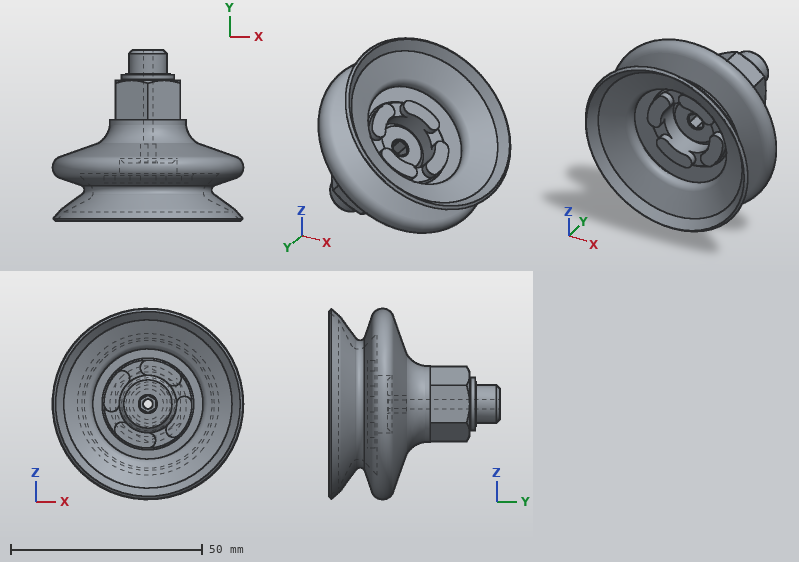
import cadquery as cq
import math

total_height = 44.8

lip_edge_radius = 24.15
lip_outer_radius = 24.85
lip_edge_height = 0.7
lip_bend_radius = 22.7
lip_bend_height = 3.1
groove_front_radius = 17.5
groove_front_height = 6.9
groove_root_radius = 16.7
groove_root_height = 8.15
groove_back_radius = 17.3
groove_back_height = 9.3
bead_radius = 25.0
bead_height = 14.05
bead_half_width = 2.8
bead_side_radius = 23.0
shoulder_radius = 13.0
shoulder_height = 20.4
neck_radius = 10.0
neck_start_height = 25.1
neck_height = 26.55
neck_arc_mid_radius = 10.85
neck_arc_mid_height = 22.6

mouth_bend_radius = 22.0
mouth_bend_height = 2.5
throat_start_radius = 15.8
throat_start_height = 5.65
throat_radius = 14.45
throat_height = 8.2
throat_end_radius = 15.5
throat_end_height = 9.65
cavity_radius = 18.5
floor_height = 12.5

retainer_radius = 12.0
retainer_chamfer = 0.5
retainer_height = floor_height - retainer_chamfer
pad_inner_radius = 7.5
pad_outer_radius = 11.5
pad_top_height = 10.0
pad_sweep = 45.0
pad_count = 4

island_radius = 6.3
island_height = 15.25
bore_floor_height = 16.45
socket_flats = 4.0
socket_entry_radius = 2.45
socket_entry_depth = 0.25
socket_depth = 5.0
air_hole_diameter = 2.5

hex_flats = 17.0
hex_top_height = 36.8
hex_chamfer_angle = 30.0
collar_radius = 5.8
collar_top_height = 38.6
washer_radius = 6.95
washer_bottom_height = 37.05
washer_top_height = 38.3
thread_radius = 5.0
thread_chamfer = 1.0


def revolve_about_y(profile):
    """Turn a closed (radius, height) profile about the Y axis."""
    return profile.close().revolve(360, (0, 0, 0), (0, 1, 0))


def section_at(height):
    """XZ workplane whose extrusions run toward +Y from the given height."""
    return cq.Workplane(cq.Plane((0, height, 0), (1, 0, 0), (0, 1, 0)))


def cylinder(radius, bottom, top):
    return section_at(bottom).circle(radius).extrude(top - bottom)


def hexagon(flats, bottom, top):
    """Hexagonal prism with two flats facing +X and -X."""
    corner_diameter = flats / math.cos(math.pi / 6)
    prism = section_at(bottom).polygon(6, corner_diameter).extrude(top - bottom)
    return prism.rotate((0, 0, 0), (0, 1, 0), 30)


def bellows():
    return revolve_about_y(
        cq.Workplane("XY")
        .moveTo(0, 0)
        .lineTo(lip_edge_radius, 0)
        .lineTo(lip_outer_radius, lip_edge_height)
        .lineTo(lip_bend_radius, lip_bend_height)
        .lineTo(groove_front_radius, groove_front_height)
        .threePointArc(
            (groove_root_radius, groove_root_height),
            (groove_back_radius, groove_back_height),
        )
        .lineTo(bead_side_radius, bead_height - bead_half_width)
        .threePointArc(
            (bead_radius, bead_height),
            (bead_side_radius, bead_height + bead_half_width),
        )
        .lineTo(shoulder_radius, shoulder_height)
        .threePointArc(
            (neck_arc_mid_radius, neck_arc_mid_height),
            (neck_radius, neck_start_height),
        )
        .lineTo(neck_radius, neck_height)
        .lineTo(0, neck_height)
    )


def cavity():
    """Open mouth, rounded throat and flat floor around the raised retainer."""
    return revolve_about_y(
        cq.Workplane("XY")
        .moveTo(0, 0)
        .lineTo(lip_edge_radius, 0)
        .lineTo(mouth_bend_radius, mouth_bend_height)
        .lineTo(throat_start_radius, throat_start_height)
        .threePointArc(
            (throat_radius, throat_height),
            (throat_end_radius, throat_end_height),
        )
        .lineTo(cavity_radius, floor_height)
        .lineTo(retainer_radius, floor_height)
        .lineTo(retainer_radius - retainer_chamfer, retainer_height)
        .lineTo(0, retainer_height)
    )


def pad():
    """One kidney-shaped pad sweeping from the +X axis toward -Z."""
    middle_radius = (pad_inner_radius + pad_outer_radius) / 2
    end_radius = (pad_outer_radius - pad_inner_radius) / 2

    def polar(radius, degrees):
        angle = math.radians(degrees)
        return (radius * math.cos(angle), -radius * math.sin(angle))

    def end_tip(degrees, direction):
        x, z = polar(middle_radius, degrees)
        dx, dz = polar(end_radius, degrees + direction * 90)
        return (x + dx, z + dz)

    plane = cq.Plane((0, bore_floor_height, 0), (1, 0, 0), (0, -1, 0))
    return (
        cq.Workplane(plane)
        .moveTo(*polar(pad_outer_radius, 0))
        .threePointArc(polar(pad_outer_radius, pad_sweep / 2), polar(pad_outer_radius, pad_sweep))
        .threePointArc(end_tip(pad_sweep, 1), polar(pad_inner_radius, pad_sweep))
        .threePointArc(polar(pad_inner_radius, pad_sweep / 2), polar(pad_inner_radius, 0))
        .threePointArc(end_tip(0, -1), polar(pad_outer_radius, 0))
        .close()
        .extrude(bore_floor_height - pad_top_height)
    )


def bore():
    """Round bore leaving a conical island on its floor."""
    return revolve_about_y(
        cq.Workplane("XY")
        .moveTo(0, pad_top_height)
        .lineTo(pad_inner_radius, pad_top_height)
        .lineTo(pad_inner_radius, bore_floor_height)
        .lineTo(island_radius, island_height)
        .lineTo(0, island_height)
    )


def chamfered_hexagon():
    """Hexagonal body whose thread-side corners are trimmed by a cone."""
    top_radius = hex_flats / 2
    corner_radius = top_radius / math.cos(math.pi / 6)
    chamfer_drop = (corner_radius - top_radius) * math.tan(math.radians(hex_chamfer_angle))
    envelope = revolve_about_y(
        cq.Workplane("XY")
        .moveTo(0, neck_height)
        .lineTo(corner_radius, neck_height)
        .lineTo(corner_radius, hex_top_height - chamfer_drop)
        .lineTo(top_radius, hex_top_height)
        .lineTo(0, hex_top_height)
    )
    return hexagon(hex_flats, neck_height, hex_top_height).intersect(envelope)


def threaded_end():
    collar = cylinder(collar_radius, hex_top_height, collar_top_height)
    washer = cylinder(washer_radius, washer_bottom_height, washer_top_height)
    stud = cylinder(thread_radius, hex_top_height, total_height)
    stud = stud.faces(">Y").chamfer(thread_chamfer)
    return collar.union(washer).union(stud)


body = bellows().cut(cavity())
for index in range(pad_count):
    body = body.union(pad().rotate((0, 0, 0), (0, 1, 0), index * 360 / pad_count))

body = body.cut(bore())
body = body.union(chamfered_hexagon()).union(threaded_end())
body = body.cut(cylinder(socket_entry_radius, island_height, island_height + socket_entry_depth))
body = body.cut(hexagon(socket_flats, island_height, island_height + socket_depth))
body = body.cut(cylinder(air_hole_diameter / 2, island_height, total_height))

result = body.translate((0, -total_height / 2, 0))